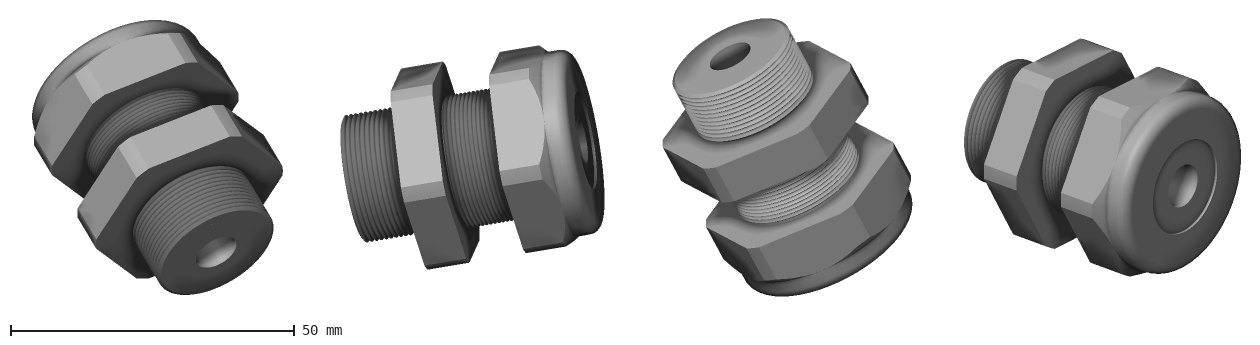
import cadquery as cq
import math


gland_length = 41.9

across_flats = 33.03
corner_diameter = 36.65
corner_radius = corner_diameter / 2

cap_end = 13.2
rim_length = 4.2
rim_radius = across_flats / 2
rim_fillet = 2.0
chamfer_height = corner_radius - rim_radius

collar_start = 23.45
collar_end = 31.05

cap_thread_start = 12.75
cap_thread_pitch = 0.75
cap_thread_teeth = 14
cap_thread_crest = 11.9
cap_thread_root = 11.3

neck_radius = 10.55
flare_radius = 10.9
flare_arc = 1.0
mount_thread_start = 31.8
mount_thread_pitch = 0.9
mount_thread_grooves = 11
mount_thread_crest = 11.45
mount_thread_root = 10.75

sleeve_radius = 9.0
cable_radius = 4.0
mouth_radius = 8.75
mouth_depth = 0.5


def cylinder(radius, start, end):
    """Cylinder on the X axis between two X positions."""
    return cq.Workplane("YZ", origin=(start, 0, 0)).circle(radius).extrude(end - start)


def revolve_about_x(profile):
    """Turn a closed XY profile, with Y as the radius, about the X axis."""
    return profile.close().revolve(360, (0, 0, 0), (1, 0, 0))


def hexagon(start, end):
    """Hexagonal prism with flats facing +Z and -Z and corners rounded by a cylinder."""
    prism = (
        cq.Workplane("YZ", origin=(start, 0, 0))
        .polygon(6, across_flats / math.cos(math.pi / 6))
        .extrude(end - start)
    )
    return prism.intersect(cylinder(corner_radius, start, end))


def make_cap():
    """Fillet-edged rim and a hexagon whose front corners are cut back by a 45 degree cone."""
    rim = cylinder(rim_radius, 0, rim_length).faces("<X").edges().fillet(rim_fillet)
    cone = (
        cq.Workplane("XY")
        .moveTo(rim_length, 0)
        .lineTo(rim_length, rim_radius)
        .lineTo(rim_length + chamfer_height, corner_radius)
        .lineTo(cap_end, corner_radius)
        .lineTo(cap_end, 0)
    )
    return rim.union(hexagon(rim_length, cap_end).intersect(revolve_about_x(cone)))


def make_cap_thread():
    """Shank with ring-shaped teeth that run from root to root."""
    profile = (
        cq.Workplane("XY")
        .moveTo(cap_thread_start, 0)
        .lineTo(cap_thread_start, cap_thread_root)
    )
    for tooth in range(cap_thread_teeth):
        tooth_start = cap_thread_start + tooth * cap_thread_pitch
        profile = profile.lineTo(tooth_start + cap_thread_pitch / 2, cap_thread_crest)
        profile = profile.lineTo(tooth_start + cap_thread_pitch, cap_thread_root)
    profile = profile.lineTo(collar_start, cap_thread_root).lineTo(collar_start, 0)
    return revolve_about_x(profile)


def make_mounting_thread():
    """Flared neck, then V-shaped ring grooves that run from crest to crest."""
    profile = (
        cq.Workplane("XY")
        .moveTo(collar_end, 0)
        .lineTo(collar_end, neck_radius)
        .radiusArc((mount_thread_start, flare_radius), -flare_arc)
        .lineTo(mount_thread_start, mount_thread_crest)
    )
    for groove in range(mount_thread_grooves):
        groove_start = mount_thread_start + groove * mount_thread_pitch
        profile = profile.lineTo(groove_start + mount_thread_pitch / 2, mount_thread_root)
        profile = profile.lineTo(groove_start + mount_thread_pitch, mount_thread_crest)
    profile = profile.lineTo(gland_length, mount_thread_root).lineTo(gland_length, 0)
    return revolve_about_x(profile)


def make_housing():
    """Cap, collar and both threads in one piece, bored through for the sleeve."""
    collar = hexagon(collar_start, collar_end)
    outside = make_cap().union(make_cap_thread()).union(collar).union(make_mounting_thread())
    return outside.cut(cylinder(sleeve_radius, 0, gland_length))


def make_sealing_sleeve():
    """Tube that fills the housing bore, its front face set back inside a thin lip."""
    tube = cylinder(sleeve_radius, 0, gland_length).cut(cylinder(cable_radius, 0, gland_length))
    return tube.cut(cylinder(mouth_radius, 0, mouth_depth))


housing = make_housing()
sealing_sleeve = make_sealing_sleeve()

result = cq.Compound.makeCompound([housing.solids().val(), sealing_sleeve.solids().val()])